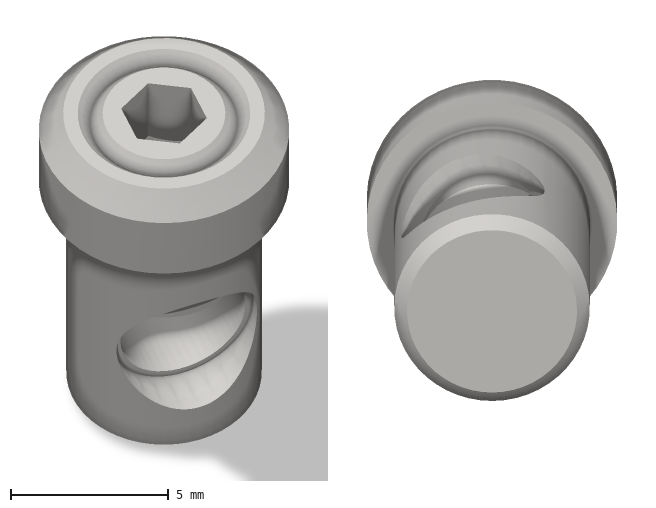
import cadquery as cq
import math

total_height = 12.7
head_diameter = 7.94
head_chamfer = 0.77
shank_diameter = 6.2
shank_height = 9.52
neck_fillet = 0.1
tip_chamfer = 0.41

screw_diameter = 4.88
screw_tip_diameter = 2.67
screw_tip_height = 4.58
screw_tip_length = 1.13
hex_across_flats = 2.37
hex_wall_depth = 2.5
hex_bottom_slope = 30.0

groove_inner_radius = 1.94
groove_depth = 0.4

cable_hole_height = 4.45
cable_hole_diameter = 4.25
mouth_diameter = 4.98
counterbore_floor_x = 1.65
counterbore_floor_diameter = 4.72


def make_body():
    head_radius = head_diameter / 2
    shank_radius = shank_diameter / 2
    profile = (
        cq.Workplane("XZ")
        .lineTo(shank_radius - tip_chamfer, 0)
        .lineTo(shank_radius, tip_chamfer)
        .lineTo(shank_radius, shank_height - neck_fillet)
        .radiusArc((shank_radius + neck_fillet, shank_height), neck_fillet)
        .lineTo(head_radius, shank_height)
        .lineTo(head_radius, total_height - head_chamfer)
        .lineTo(head_radius - head_chamfer, total_height)
        .lineTo(0, total_height)
        .close()
    )
    return profile.revolve(360, (0, 0), (0, 1))


def make_cable_hole():
    narrow_radius = cable_hole_diameter / 2
    mouth_radius = mouth_diameter / 2
    mouth_x = shank_diameter / 2
    profile = (
        cq.Workplane("XZ", origin=(0, 0, cable_hole_height))
        .moveTo(-mouth_x, 0)
        .lineTo(-mouth_x, narrow_radius)
        .lineTo(counterbore_floor_x, narrow_radius)
        .lineTo(counterbore_floor_x, counterbore_floor_diameter / 2)
        .lineTo(mouth_x, mouth_radius)
        .lineTo(mouth_x, 0)
        .close()
    )
    return profile.revolve(360, (0, 0), (1, 0))


def make_screw_end():
    """Lower part of the screw, hanging into the cable hole."""
    screw_radius = screw_diameter / 2
    cone_top = screw_tip_height + screw_tip_length
    profile = (
        cq.Workplane("XZ")
        .moveTo(0, screw_tip_height)
        .lineTo(screw_tip_diameter / 2, screw_tip_height)
        .lineTo(screw_radius, cone_top)
        .lineTo(screw_radius, shank_height)
        .lineTo(0, shank_height)
        .close()
    )
    return profile.revolve(360, (0, 0), (0, 1))


def make_groove():
    groove = (
        cq.Workplane("XZ")
        .moveTo(groove_inner_radius, total_height)
        .lineTo(groove_inner_radius + groove_depth, total_height - groove_depth)
        .lineTo(groove_inner_radius + 2 * groove_depth, total_height)
        .close()
    )
    return groove.revolve(360, (0, 0), (0, 1))


def make_hex_socket():
    """Hexagonal socket with corners on X and a shallow conical bottom."""
    corner_radius = hex_across_flats / math.sqrt(3)
    wall_bottom = total_height - hex_wall_depth
    cone_tip = wall_bottom - corner_radius * math.tan(math.radians(hex_bottom_slope))
    hexagon = (
        cq.Workplane("XY", origin=(0, 0, cone_tip))
        .polygon(6, 2 * corner_radius)
        .extrude(total_height - cone_tip)
    )
    drill = (
        cq.Workplane("XZ")
        .moveTo(0, cone_tip)
        .lineTo(corner_radius, wall_bottom)
        .lineTo(corner_radius, total_height)
        .lineTo(0, total_height)
        .close()
        .revolve(360, (0, 0), (0, 1))
    )
    return hexagon.intersect(drill)


result = (
    make_body()
    .cut(make_cable_hole())
    .union(make_screw_end())
    .cut(make_groove())
    .cut(make_hex_socket())
)